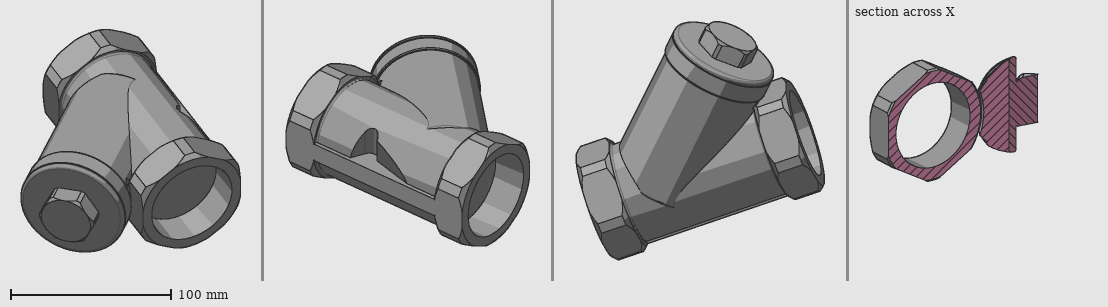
import cadquery as cq
import math

LENGTH = 140.0
HEX_LENGTH = 22.1
HEX_FLATS = 68.0
HEX_CORNERS = 74.9
CHAMFER_CUT_DIAMETER = 77.0
HEX_FACE_DIAMETER = 69.0
RUN_DIAMETER = 64.1
RUN_FILLET = 1.1
BORE_DIAMETER = 56.0
BORE_DEPTH = 22.1

WALL_TOP = 6.3
WALL_THICKNESS = 2 * WALL_TOP

NOSE_START = (5.9, 23.7)
NOSE_TIP = (11.5, 19.0)
NOSE_END = (16.2, 22.4)
LEFT_FLANK_ANGLE = 14.5
RIGHT_FLANK_ANGLE = 63.0

BRANCH_ORIGIN_X = -27.3
BRANCH_ANGLE = -45.0
BRANCH_DIAMETER = 66.0
BRANCH_START = 1.1
COLLAR_START = 83.6
COLLAR_END = 95.5
CAP_START = 95.9
CAP_END = 99.4
KNOB_END = 111.0
COLLAR_DIAMETER = 68.5
BRANCH_ROUND = 1.1
COLLAR_CHAMFER_LENGTH = 1.0
COLLAR_CHAMFER_DEPTH = 0.4

CAP_ROUND = 2.2
NECK_DIAMETER = 67.6
KNOB_FLATS = 32.3
KNOB_CORNERS = 35.8
KNOB_TURN = 4.5


def hex_prism(plane, flats, length, turn):
    """Hexagonal prism on a plane, turned about the plane's normal."""
    corner_diameter = flats / math.cos(math.pi / 6)
    outline = cq.Workplane(plane).transformed(rotate=(0, 0, turn)).polygon(6, corner_diameter)
    return outline.extrude(length)


def disc(plane, diameter, start, end):
    """Cylinder between two distances along the plane's normal."""
    return cq.Workplane(plane).workplane(offset=start).circle(diameter / 2).extrude(end - start)


def make_hex_end(start):
    """Hexagon of the run with rounded corners and a 45 degree chamfer on both ends."""
    plane = cq.Plane(origin=(start, 0, 0), xDir=(0, 1, 0), normal=(1, 0, 0))
    chamfer = (HEX_CORNERS - HEX_FACE_DIAMETER) / 2
    envelope = disc(plane, HEX_CORNERS, 0, HEX_LENGTH).edges().chamfer(chamfer)
    return hex_prism(plane, HEX_FLATS, HEX_LENGTH, 30).intersect(envelope)


def make_chamfer_ring():
    """Triangular ring cut away by the 45 degree chamfer on the inner end of the +X hexagon."""
    start = LENGTH / 2 - HEX_LENGTH
    inner = HEX_FACE_DIAMETER / 2
    outer = CHAMFER_CUT_DIAMETER / 2
    triangle = cq.Workplane("XY").polyline([(start, inner), (start, outer), (start + outer - inner, outer)])
    return triangle.close().revolve(360, (0, 0, 0), (1, 0, 0))


def make_run():
    """Middle tube, flared into the hexagons by a fillet at both ends."""
    half = LENGTH / 2 - HEX_LENGTH
    radius = RUN_DIAMETER / 2
    flare = radius + RUN_FILLET
    bend = RUN_FILLET * (1 - math.sqrt(0.5))
    profile = (
        cq.Workplane(cq.Plane((0, 0, 0), (1, 0, 0), (0, 1, 0)))
        .moveTo(-half, 0)
        .lineTo(-half, flare)
        .threePointArc((-half + bend, radius + bend), (-half + RUN_FILLET, radius))
        .lineTo(half - RUN_FILLET, radius)
        .threePointArc((half - bend, radius + bend), (half, flare))
        .lineTo(half, 0)
        .close()
    )
    return profile.revolve(360, (0, 0, 0), (1, 0, 0))


def make_side_recess():
    """Pocket in the +Y side of the run, open upwards, with its floor on the wall top."""
    rim = HEX_FLATS / 2
    left_x = NOSE_START[0] - (rim - NOSE_START[1]) / math.tan(math.radians(LEFT_FLANK_ANGLE))
    right_x = NOSE_END[0] + (rim - NOSE_END[1]) / math.tan(math.radians(RIGHT_FLANK_ANGLE))
    outline = (
        cq.Workplane("XY", origin=(0, 0, WALL_TOP))
        .moveTo(left_x, rim)
        .lineTo(*NOSE_START)
        .threePointArc(NOSE_TIP, NOSE_END)
        .lineTo(right_x, rim)
        .close()
    )
    return outline.extrude(RUN_DIAMETER)


def make_side_wall():
    """Flat wall flush with the +Y flats of the two hexagons."""
    span = LENGTH - 2 * HEX_LENGTH
    depth = HEX_FLATS / 2
    return (
        cq.Workplane("XY", origin=(0, depth / 2, WALL_TOP - WALL_THICKNESS / 2))
        .box(span, depth, WALL_THICKNESS)
    )


def make_branch(plane):
    """Angled cylinder, notched by the hexagon chamfer, that ends in a slightly larger collar."""
    tube = disc(plane, BRANCH_DIAMETER, BRANCH_START, COLLAR_END)
    tube = tube.faces("<(1,-1,0)").edges().fillet(BRANCH_ROUND)
    tube = tube.cut(make_chamfer_ring())
    radius = COLLAR_DIAMETER / 2
    collar = (
        cq.Workplane(cq.Plane(plane.origin, plane.xDir, cq.Vector(0, 0, -1)))
        .moveTo(0, COLLAR_START)
        .lineTo(radius - COLLAR_CHAMFER_DEPTH, COLLAR_START)
        .lineTo(radius, COLLAR_START + COLLAR_CHAMFER_LENGTH)
        .lineTo(radius, COLLAR_END)
        .lineTo(0, COLLAR_END)
        .close()
        .revolve(360, (0, 0, 0), (0, 1, 0))
    )
    return tube.union(collar)


def make_body(plane):
    """Run, hexagons and branch in one piece, with a blind bore in each end."""
    body = make_run().cut(make_side_recess()).union(make_side_wall())
    for start in (-LENGTH / 2, LENGTH / 2 - HEX_LENGTH):
        body = body.union(make_hex_end(start))
    body = body.union(make_branch(plane))
    for start in (-LENGTH / 2, LENGTH / 2 - BORE_DEPTH):
        body = body.cut(disc("YZ", BORE_DIAMETER, start, start + BORE_DEPTH))
    return body


def make_cap(plane):
    """Round cover of the branch with a chamfered hexagonal knob."""
    cover = disc(plane, COLLAR_DIAMETER, CAP_START, CAP_END)
    cover = cover.faces(">(1,-1,0)").edges().fillet(CAP_ROUND)
    envelope = disc(plane, KNOB_CORNERS, CAP_END, KNOB_END)
    envelope = envelope.faces(">(1,-1,0)").edges().chamfer((KNOB_CORNERS - KNOB_FLATS) / 2)
    knob_plane = cq.Plane(plane.toWorldCoords((0, 0, CAP_END)), plane.xDir, plane.zDir)
    knob = hex_prism(knob_plane, KNOB_FLATS, KNOB_END - CAP_END, KNOB_TURN).intersect(envelope)
    neck = disc(plane, NECK_DIAMETER, COLLAR_END, CAP_START)
    return neck.union(cover).union(knob)


branch_turn = math.radians(BRANCH_ANGLE)
branch_axis = (math.cos(branch_turn), math.sin(branch_turn), 0)
branch_side = (-math.sin(branch_turn), math.cos(branch_turn), 0)
branch_plane = cq.Plane((BRANCH_ORIGIN_X, 0, 0), branch_side, branch_axis)

body = make_body(branch_plane)
cap = make_cap(branch_plane)
result = cq.Compound.makeCompound([body.val(), cap.val()])